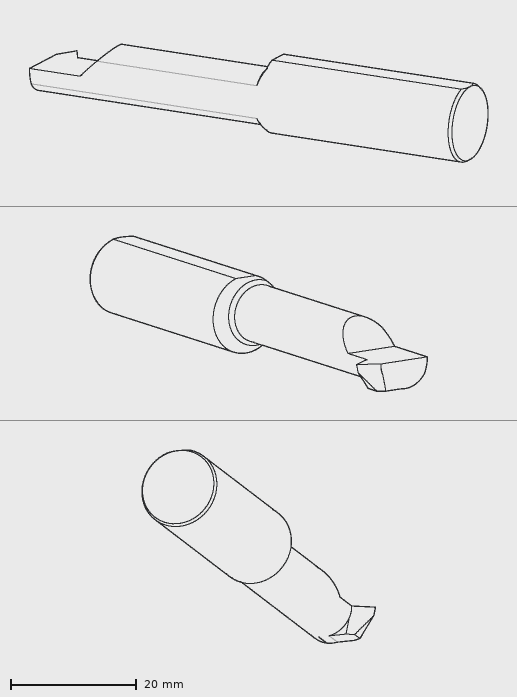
import cadquery as cq
import math

total_length = 76.2

shank_diameter = 12.7
shank_radius = shank_diameter / 2
shank_height = 12.4
shank_start = 41.45
end_chamfer_length = 0.5
end_chamfer_angle = math.radians(30)

neck_radius = 4.65
neck_center_y = -2.0
neck_side_y = neck_center_y + neck_radius
collar_size = 0.7

rake_length = 9.15
tooth_tip_y = 6.0
tooth_half_angle = math.radians(30)
tooth_half_width = (tooth_tip_y - neck_side_y) * math.tan(tooth_half_angle)
tooth_depth = 4.6
clearance_angle = math.radians(12)
relief_start_depth = 1.4
relief_run = 2.8


def make_shank():
    end_drop = end_chamfer_length * math.tan(end_chamfer_angle)
    profile = [
        (shank_start, 0),
        (shank_start, shank_radius),
        (total_length - end_chamfer_length, shank_radius),
        (total_length, shank_radius - end_drop),
        (total_length, 0),
    ]
    shank = cq.Workplane("XY").polyline(profile).close().revolve(360, (0, 0), (1, 0))
    above_flat = cq.Workplane("XY", origin=(0, 0, shank_height - shank_radius)).box(
        2 * total_length, shank_diameter, shank_diameter, centered=(True, True, False)
    )
    return shank.cut(above_flat)


def make_neck():
    profile = [
        (0, 0),
        (0, neck_radius),
        (shank_start - collar_size, neck_radius),
        (shank_start, neck_radius + collar_size),
        (shank_start, 0),
    ]
    neck = cq.Workplane("XY", origin=(0, neck_center_y, 0)).polyline(profile).close()
    neck = neck.revolve(360, (0, 0), (1, 0))
    shank_cylinder = cq.Workplane("YZ").circle(shank_radius).extrude(shank_start)
    neck = neck.intersect(shank_cylinder)

    clearance = [
        (0, 0),
        (rake_length, 0),
        (rake_length + shank_radius, shank_radius),
        (0, shank_radius),
    ]
    cutter = cq.Workplane("XZ").polyline(clearance).close().extrude(shank_radius, both=True)
    return neck.cut(cutter)


def make_tooth():
    clearance_shift = tooth_depth * math.tan(clearance_angle)
    tooth_width = 2 * tooth_half_width

    def section(shift):
        return [
            (0, neck_center_y - shift),
            (tooth_width, neck_center_y - shift),
            (tooth_width, neck_side_y - shift),
            (tooth_half_width, tooth_tip_y - shift),
            (0, neck_side_y - shift),
        ]

    tooth = cq.Workplane("XY").polyline(section(0)).close()
    tooth = tooth.workplane(offset=-tooth_depth).polyline(section(clearance_shift)).close()
    tooth = tooth.loft(ruled=True)

    relief_y = tooth_tip_y - relief_start_depth * math.tan(clearance_angle)
    relief = [
        (relief_y, -relief_start_depth),
        (relief_y, -tooth_depth),
        (relief_y - relief_run, -tooth_depth),
    ]
    return tooth.cut(cq.Workplane("YZ").polyline(relief).close().extrude(tooth_width))


result = make_shank().union(make_neck()).union(make_tooth())